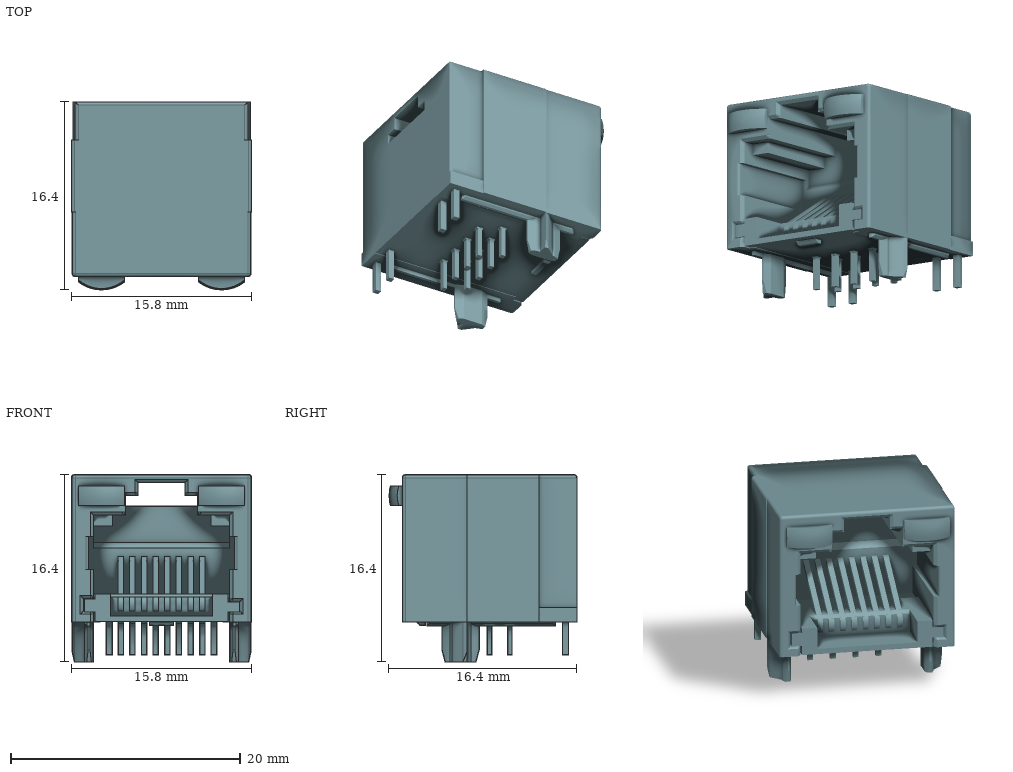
import cadquery as cq
import math


housing_height = 12.88
housing_depth = 15.25
edge_round = 0.28
front_width = 15.62
middle_width = 15.75
rear_width = 15.08
tab_width = 15.5
tab_height = 1.29
middle_start = 5.65
middle_end = 11.93

lead_in = 0.28
cavity_half = 6.22
cavity_top = 9.63
shoulder_half = 3.44
shoulder_top = 11.32
latch_half = 2.32
latch_top = 12.46
wing_half = 7.1
wing_bottom = 0.69
left_wing_top = 2.33
right_wing_top = 2.05
groove_half = 6.36
groove_mouth_round = 0.25
groove_bottom = 4.61
groove_top = 7.47
back_wall = 9.3
back_bevel = 0.5
bevel_bottom = 6.47
tunnel_floor = 10.12
rail_start = 1.5
rail_half_gap = 4.3
rail_bottom = 8.4

insert_setback = 0.1
insert_half = 5.82
insert_bottom = 0.05
insert_top = 2.47
insert_step_start = 6.85
insert_step_drop = 0.38
gap_depth = 1.0
left_tongue_half = 6.74
right_tongue_half = 6.8
tongue_bottom = 0.9
left_tongue_top = 2.02
right_tongue_top = 1.76
filler_half = 6.9
underside_half = 5.36
recess_half = 4.47
recess_floor = 0.54
recess_depth = 3.35
recess_bevel = 0.28

contact_count = 8
contact_pitch = 1.016
contact_width = 0.48
contact_thickness = 0.35
wire_start = 3.65
wire_angle = 30
nose_bottom = 0.96
nose_top = 2.18
nose_bulge = 0.25

pin_bottom = -2.87
pin_thickness = 0.4
pin_rows = (7.61, 9.39)
collar_bottom = -0.1
collar_thickness = 0.6
led_pin_size = 0.54
led_pin_xs = (4.57, 6.84)
led_pin_y = 14.24

lens_width = 4.04
lens_bottom = 10.17
lens_top = 11.9
lens_x = 5.24
lens_side_reach = 0.45
lens_reach = 1.16
lens_margin = 0.1

peg_bottom = -3.5
peg_y = 5.08
peg_core_inner = 5.95
peg_core_outer = 6.73
peg_core_half = 0.92
peg_lobe_inner = 6.25
peg_lobe_outer = 6.4
peg_lobe_half = 1.64
peg_lobe_taper = 0.3
peg_lobe_taper_start = -2.38
peg_wing_root_y = 4.35
peg_wing_knee = (7.62, 5.3)
peg_wing_tip = (7.8, 5.65)
peg_wing_taper = 0.2
peg_wing_taper_start = -2.6
standoff_height = 0.36
standoff_bevel = 0.22
standoff_start = 2.13
standoff_end = 13.36
standoff_inner = 6.23
standoff_outer = 6.72
foot_half = 1.06
foot_start = 1.26
foot_end = 2.02
foot_height = 0.28

overlap = 0.5


def block(x_min, x_max, y_min, y_max, z_min, z_max):
    size = (x_max - x_min, y_max - y_min, z_max - z_min)
    return cq.Workplane("XY").box(*size, centered=False).translate((x_min, y_min, z_min))


def centered_block(half_width, y_min, y_max, z_min, z_max):
    return block(-half_width, half_width, y_min, y_max, z_min, z_max)


def extrude_back(points, y_start, y_end, taper=0):
    """Extrude an (X, Z) outline along +Y."""
    plane = cq.Workplane("XZ", origin=(0, y_start, 0))
    return plane.polyline(points).close().extrude(y_start - y_end, taper=taper)


def extrude_across(points, x_center, width):
    """Extrude a (Y, Z) outline symmetrically along X."""
    plane = cq.Workplane("YZ", origin=(x_center, 0, 0))
    return plane.polyline(points).close().extrude(width / 2, both=True)


def both_sides(right_feature):
    return right_feature.union(right_feature.mirror("YZ"))


def make_housing():
    """Shell in three sections of slightly different width."""
    front = centered_block(front_width / 2, 0, middle_start, 0, housing_height)
    front = front.edges("(|Z and <Y) or (|Y and >Z) or (|X and >Z and <Y)").fillet(edge_round)
    middle = centered_block(middle_width / 2, middle_start, middle_end, 0, housing_height)
    middle = middle.edges("|Y and >Z").fillet(edge_round)
    rear = centered_block(rear_width / 2, middle_end, housing_depth, 0, housing_height)
    rear = rear.edges("(|Y and >Z) or (|X and >Z and >Y)").fillet(edge_round)
    tabs = centered_block(tab_width / 2, middle_end, housing_depth, 0, tab_height)
    return front.union(middle).union(rear).union(tabs)


def opening_outline(inset):
    """Outline of the plug opening, shrunk by `inset`; it runs out through the underside."""
    def upper_half(side):
        return [
            (side * (cavity_half - inset), cavity_top - inset),
            (side * (shoulder_half - inset), cavity_top - inset),
            (side * (shoulder_half - inset), shoulder_top - inset),
            (side * (latch_half - inset), shoulder_top - inset),
            (side * (latch_half - inset), latch_top - inset),
        ]

    def lower_half(side, wing_top):
        return [
            (side * (cavity_half - inset), -overlap),
            (side * (cavity_half - inset), wing_bottom + inset),
            (side * (wing_half - inset), wing_bottom + inset),
            (side * (wing_half - inset), wing_top - inset),
            (side * (cavity_half - inset), wing_top - inset),
        ]

    right = lower_half(1, right_wing_top) + upper_half(1)
    left = lower_half(-1, left_wing_top) + upper_half(-1)
    return right + left[::-1]


def make_lead_in():
    """45 degree chamfer around the opening, left out beside the lenses."""
    chamfer = extrude_back(opening_outline(0), 0, lead_in, taper=45)
    wall_start = shoulder_half - lead_in
    wall_end = shoulder_half + overlap
    plain_wall = block(wall_start, wall_end, 0, lead_in, cavity_top, shoulder_top)
    return chamfer.cut(both_sides(plain_wall))


def make_side_grooves():
    """Slot through both side walls, with a rounded mouth at the front face."""
    mouth_half = groove_half + groove_mouth_round
    arc_offset = groove_mouth_round * (1 - math.sqrt(0.5))
    slot = (
        cq.Workplane("XY", origin=(0, 0, groove_bottom))
        .moveTo(-mouth_half, 0)
        .lineTo(mouth_half, 0)
        .threePointArc((groove_half + arc_offset, arc_offset), (groove_half, groove_mouth_round))
        .lineTo(groove_half, back_wall)
        .lineTo(-groove_half, back_wall)
        .lineTo(-groove_half, groove_mouth_round)
        .threePointArc((-groove_half - arc_offset, arc_offset), (-mouth_half, 0))
        .close()
    )
    return slot.extrude(groove_top - groove_bottom)


def make_cavity():
    """Plug space with a beveled back wall, open to the rear above the tunnel floor."""
    inner_half = cavity_half - lead_in
    inner_top = cavity_top - lead_in
    upper_wall = back_wall + back_bevel
    outline = opening_outline(lead_in)
    main = extrude_back(outline, 0, back_wall)
    upper_profile = [
        (middle_start, bevel_bottom),
        (back_wall, bevel_bottom),
        (upper_wall, bevel_bottom + back_bevel),
        (upper_wall, inner_top),
        (middle_start, inner_top),
    ]
    upper = extrude_across(upper_profile, 0, 2 * inner_half)
    past_back = housing_depth + overlap
    through = extrude_back(outline, 0, past_back)
    throat = through.intersect(centered_block(wing_half, 0, upper_wall, inner_top - overlap, latch_top))
    tunnel = through.intersect(centered_block(wing_half, 0, past_back, tunnel_floor, latch_top))
    rails = block(rail_half_gap, inner_half, rail_start, upper_wall, rail_bottom, inner_top)
    cavity = main.union(upper).union(throat).union(tunnel).cut(both_sides(rails))
    return cavity.union(make_lead_in()).union(make_side_grooves())


def make_insert():
    """Contact carrier keyed into the housing by a tongue on each side."""
    outline = [
        (-insert_half, insert_bottom),
        (insert_half, insert_bottom),
        (insert_half, tongue_bottom),
        (right_tongue_half, tongue_bottom),
        (right_tongue_half, right_tongue_top),
        (insert_half, right_tongue_top),
        (insert_half, insert_top),
        (-insert_half, insert_top),
        (-insert_half, left_tongue_top),
        (-left_tongue_half, left_tongue_top),
        (-left_tongue_half, tongue_bottom),
        (-insert_half, tongue_bottom),
    ]
    nose = extrude_back(outline, insert_setback, gap_depth)
    floor = centered_block(filler_half, gap_depth, insert_step_start, 0, insert_top)
    low_floor = centered_block(
        filler_half, insert_step_start, back_wall + overlap, 0, insert_top - insert_step_drop
    )
    recess_profile = [
        (-overlap, recess_floor),
        (recess_depth, recess_floor),
        (recess_depth, insert_top - recess_bevel),
        (recess_depth + recess_bevel, insert_top),
        (-overlap, insert_top),
    ]
    recess = extrude_across(recess_profile, 0, 2 * recess_half)
    return nose.union(floor).union(low_floor).cut(recess)


def contact_positions():
    first = -contact_pitch * (contact_count - 1) / 2
    return [first + index * contact_pitch for index in range(contact_count)]


def make_contact(x, row_y):
    """Sloping spring wire, the rounded nose showing below it, and its solder pin."""
    slope = math.tan(math.radians(wire_angle))
    wire_end = back_wall + overlap
    drop = contact_thickness / math.cos(math.radians(wire_angle))
    rise = (wire_end - wire_start) * slope
    wire_profile = [
        (wire_start, insert_top),
        (wire_end, insert_top + rise),
        (wire_end, insert_top + rise - drop),
        (wire_start, insert_top - drop),
    ]
    wire = extrude_across(wire_profile, x, contact_width)
    nose_middle = (recess_depth - nose_bulge, (nose_bottom + nose_top) / 2)
    nose = (
        cq.Workplane("YZ", origin=(x, 0, 0))
        .moveTo(recess_depth, nose_bottom)
        .threePointArc(nose_middle, (recess_depth, nose_top))
        .lineTo(recess_depth + overlap, nose_top)
        .lineTo(recess_depth + overlap, nose_bottom)
        .close()
        .extrude(contact_width / 2, both=True)
    )
    pin = make_pin(x, row_y, contact_width, pin_thickness, pin_bottom)
    collar = make_pin(x, row_y, contact_width, collar_thickness, collar_bottom)
    return wire.union(nose).union(pin).union(collar)


def make_pin(x, y, width, thickness, bottom):
    return block(x - width / 2, x + width / 2, y - thickness / 2, y + thickness / 2, bottom, overlap)


def make_lens():
    """Block whose front is a spherical cap centered on it."""
    half = lens_width / 2
    middle_height = (lens_bottom + lens_top) / 2
    bulge = lens_reach - lens_side_reach
    sphere_radius = (half**2 + bulge**2) / (2 * bulge)
    corner = math.hypot(half, middle_height - lens_bottom) + lens_margin

    def cap_point(distance):
        """Point of the cap at a distance from the lens axis."""
        return (distance, sphere_radius - lens_reach - math.sqrt(sphere_radius**2 - distance**2))

    cap = (
        cq.Workplane("XY", origin=(lens_x, 0, middle_height))
        .moveTo(*cap_point(0))
        .threePointArc(cap_point(corner / 2), cap_point(corner))
        .lineTo(corner, overlap)
        .lineTo(0, overlap)
        .close()
        .revolve(360, (0, 0, 0), (0, 1, 0))
    )
    body = block(lens_x - half, lens_x + half, -lens_reach, overlap, lens_bottom, lens_top)
    return body.intersect(cap)


def make_peg():
    """Core with a lobe in front and behind, and a swept wing pressing outwards."""
    core_half_outline = [
        (peg_core_outer, peg_core_half),
        (peg_lobe_outer, peg_lobe_half),
        (peg_lobe_inner, peg_lobe_half),
        (peg_core_inner, peg_core_half),
    ]
    core_outline = core_half_outline + [(x, -y) for x, y in reversed(core_half_outline)]
    core_plane = cq.Workplane("XY", origin=(0, peg_y, peg_bottom))
    core = core_plane.polyline(core_outline).close().extrude(overlap - peg_bottom)
    core_taper = [
        (peg_y - peg_lobe_half, overlap),
        (peg_y - peg_lobe_half, peg_lobe_taper_start),
        (peg_y - peg_lobe_half + peg_lobe_taper, peg_bottom),
        (peg_y + peg_lobe_half - peg_lobe_taper, peg_bottom),
        (peg_y + peg_lobe_half, peg_lobe_taper_start),
        (peg_y + peg_lobe_half, overlap),
    ]
    core = core.intersect(extrude_across(core_taper, 0, 2 * middle_width))
    wing_tip_x, wing_end = peg_wing_tip
    wing_outline = [
        (peg_core_inner, peg_wing_root_y),
        (peg_core_outer, peg_wing_root_y),
        peg_wing_knee,
        peg_wing_tip,
        (peg_core_inner, wing_end),
    ]
    wing_plane = cq.Workplane("XY", origin=(0, 0, peg_bottom))
    wing = wing_plane.polyline(wing_outline).close().extrude(overlap - peg_bottom)
    wing_taper = [
        (peg_core_inner, overlap),
        (wing_tip_x, overlap),
        (wing_tip_x, peg_wing_taper_start),
        (wing_tip_x - peg_wing_taper, peg_bottom),
        (peg_core_inner, peg_bottom),
    ]
    return core.union(wing.intersect(extrude_back(wing_taper, 0, housing_depth)))


def make_standoff():
    """Rail under the housing, beveled around its outer face."""
    rail = block(standoff_inner, standoff_outer, standoff_start, standoff_end, -standoff_height, overlap)
    return rail.faces(">X").edges("<Z or |Z").chamfer(standoff_bevel)


def make_foot():
    """Short block under the front edge, with a sloping front."""
    profile = [
        (foot_start, 0),
        (foot_start + foot_height, -foot_height),
        (foot_end, -foot_height),
        (foot_end, overlap),
        (foot_start, overlap),
    ]
    return extrude_across(profile, 0, 2 * foot_half)


jack = make_housing().cut(make_cavity()).union(make_insert())
jack = jack.cut(centered_block(underside_half, -overlap, housing_depth + overlap, -overlap, insert_bottom))
for number, contact_x in enumerate(contact_positions()):
    jack = jack.union(make_contact(contact_x, pin_rows[number % 2]))
for led_pin_x in led_pin_xs:
    led_pin = make_pin(led_pin_x, led_pin_y, led_pin_size, led_pin_size, pin_bottom)
    jack = jack.union(both_sides(led_pin))
for feature in (make_lens(), make_peg(), make_standoff()):
    jack = jack.union(both_sides(feature))
result = jack.union(make_foot())